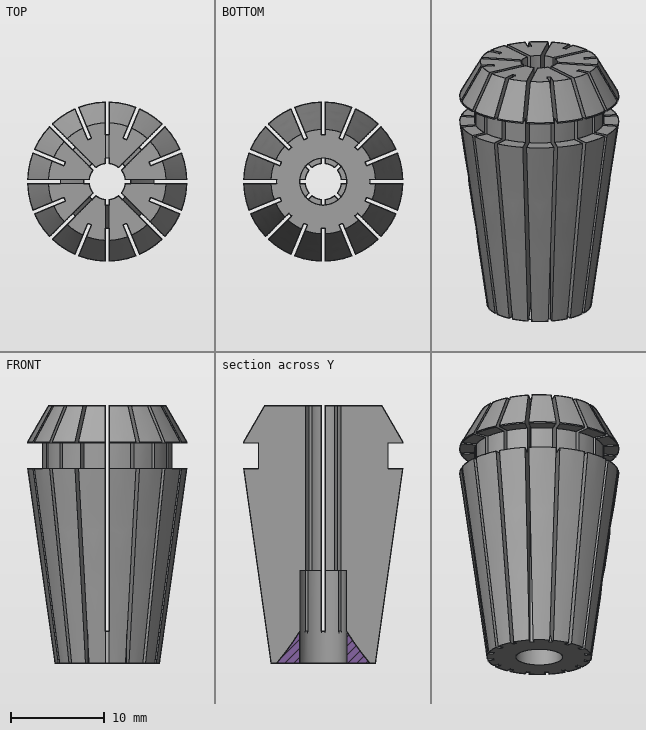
import cadquery as cq
import math

height = 27.5
rim_radius = 8.5
bore_radius = 1.92
slot_width = 0.4

nose_angle = 30.0
rim_thickness = 0.15
groove_radius = 6.93
groove_top = 23.5
groove_bottom = 20.8
rim_top = groove_top + rim_thickness
nose_top_radius = rim_radius - (height - rim_top) * math.tan(math.radians(nose_angle))

shank_angle = 8.0
shank_bottom_radius = rim_radius - groove_bottom * math.tan(math.radians(shank_angle))

clearance_radius = 2.5
clearance_depth = 9.9

long_slot_count = 8
web_height = 3.45
web_outer_radius = 5.0
web_arc_radius = 29.98

short_slot_count = 8
short_slot_inner_radius = 4.92

overcut = 0.55


def collet_body():
    """Revolve the nose, groove and shank around Z, with the stepped bore left open."""
    return (
        cq.Workplane("XZ")
        .moveTo(clearance_radius, 0)
        .lineTo(shank_bottom_radius, 0)
        .lineTo(rim_radius, groove_bottom)
        .lineTo(groove_radius, groove_bottom)
        .lineTo(groove_radius, groove_top)
        .lineTo(rim_radius, groove_top)
        .lineTo(rim_radius, rim_top)
        .lineTo(nose_top_radius, height)
        .lineTo(bore_radius, height)
        .lineTo(bore_radius, clearance_depth)
        .lineTo(clearance_radius, clearance_depth)
        .close()
        .revolve(360, (0, 0, 0), (0, 1, 0))
    )


def radial_slot(outline):
    """Make a slot cutter along +X from a closed outline in the radius-height plane."""
    return outline.close().extrude(slot_width / 2, both=True)


def cut_around(body, cutter, count, first_angle):
    """Cut copies of the cutter at equal angles around Z."""
    for index in range(count):
        angle = first_angle + index * 360.0 / count
        body = body.cut(cutter.rotate((0, 0, 0), (0, 0, 1), angle))
    return body


cut_radius = rim_radius + overcut
cut_top = height + overcut

long_slot = radial_slot(
    cq.Workplane("XZ")
    .moveTo(0, cut_top)
    .lineTo(0, web_height)
    .lineTo(clearance_radius, web_height)
    .radiusArc((web_outer_radius, 0), -web_arc_radius)
    .lineTo(cut_radius, 0)
    .lineTo(cut_radius, cut_top)
)
short_slot = radial_slot(
    cq.Workplane("XZ")
    .moveTo(short_slot_inner_radius, 0)
    .lineTo(cut_radius, 0)
    .lineTo(cut_radius, cut_top)
    .lineTo(short_slot_inner_radius, cut_top)
)

result = collet_body()
result = cut_around(result, long_slot, long_slot_count, 0.0)
result = cut_around(result, short_slot, short_slot_count, 180.0 / short_slot_count)